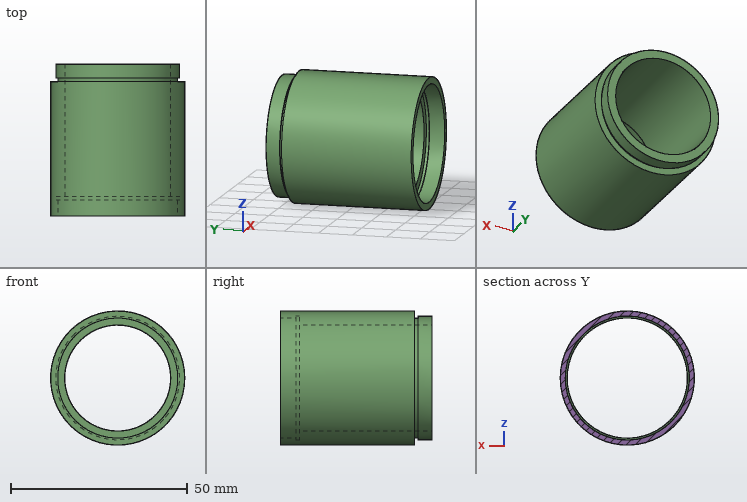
import cadquery as cq

total_length = 43.1
body_diameter = 38.1
bore_diameter = 30.0

collar_diameter = 35.1
collar_length = 4.0
groove_diameter = 34.05
groove_width = 1.0

socket_diameter = 34.05
lip_length = 4.53

undercut_diameter = collar_diameter
undercut_width = groove_width

body_length = total_length - collar_length - groove_width


def cylinder(diameter, start, length):
    """Solid cylinder along +Y, beginning at Y = start."""
    base = cq.Workplane("XZ", origin=(0, start, 0))
    return base.circle(diameter / 2).extrude(-length)


body = cylinder(body_diameter, 0, body_length)
groove_floor = cylinder(groove_diameter, body_length, groove_width)
collar = cylinder(collar_diameter, body_length + groove_width, collar_length)

bore = cylinder(bore_diameter, 0, total_length)
socket = cylinder(socket_diameter, 0, lip_length)
undercut = cylinder(undercut_diameter, lip_length, undercut_width)

result = body.union(groove_floor).union(collar).cut(bore).cut(socket).cut(undercut)